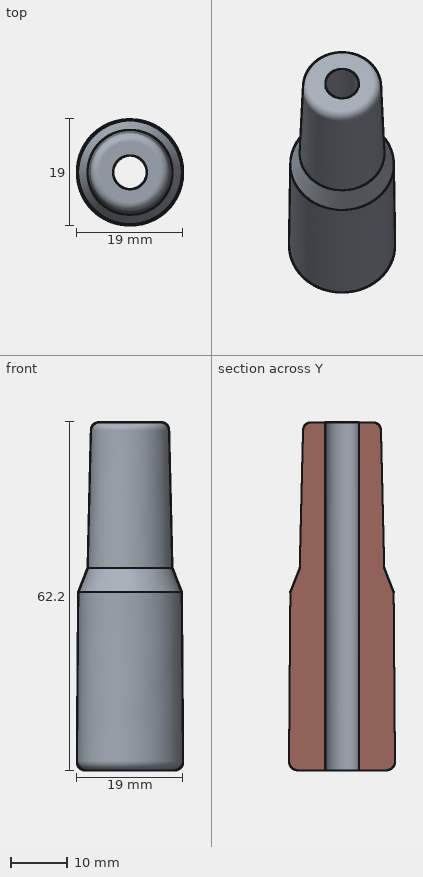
import cadquery as cq

total_height = 62.2
body_top = 31.85
neck_bottom = 36.15

body_bottom_diameter = 19.05
body_top_diameter = 18.55
neck_bottom_diameter = 15.2
neck_top_diameter = 13.95

bore_diameter = 6.0
top_round = 1.5
bottom_round = 1.6


def make_handle():
    """Revolve the tapered body, shoulder and neck about Z."""
    return (
        cq.Workplane("XZ")
        .lineTo(body_bottom_diameter / 2, 0)
        .lineTo(body_top_diameter / 2, body_top)
        .lineTo(neck_bottom_diameter / 2, neck_bottom)
        .lineTo(neck_top_diameter / 2, total_height)
        .lineTo(0, total_height)
        .close()
        .revolve(360, (0, 0), (0, 1))
    )


def round_ends(handle):
    """Round the outer rims of the top and bottom faces."""
    handle = handle.faces(">Z").edges().fillet(top_round)
    return handle.faces("<Z").edges().fillet(bottom_round)


def make_bore():
    """Cylinder that cuts the central hole through the full height."""
    return cq.Workplane("XY").circle(bore_diameter / 2).extrude(total_height)


result = round_ends(make_handle()).cut(make_bore())